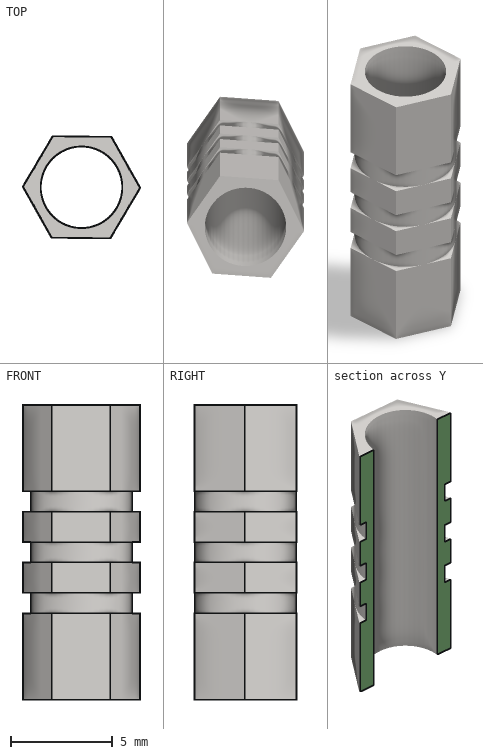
import cadquery as cq
import math

HEX_SIDES = 6
ACROSS_FLATS = 5.0
HEX_TURN = -0.6
GROOVE_DIAMETER = ACROSS_FLATS
BORE_DIAMETER = 4.0
END_LENGTH = 4.25
COLLAR_LENGTH = 1.5
GROOVE_WIDTH = 1.0
COLLAR_COUNT = 2

ACROSS_CORNERS = ACROSS_FLATS / math.cos(math.pi / HEX_SIDES)
GROOVE_COUNT = COLLAR_COUNT + 1
GROOVE_PITCH = COLLAR_LENGTH + GROOVE_WIDTH
TOTAL_LENGTH = 2 * END_LENGTH + COLLAR_COUNT * COLLAR_LENGTH + GROOVE_COUNT * GROOVE_WIDTH


def hexagonal_bar():
    """Full-length hexagonal bar standing on the XY plane."""
    bar = cq.Workplane("XY").polygon(HEX_SIDES, ACROSS_CORNERS).extrude(TOTAL_LENGTH)
    return bar.rotate((0, 0, 0), (0, 0, 1), HEX_TURN)


def groove_cutter(bottom):
    """Ring that turns the hexagon corners down to the groove diameter."""
    return (
        cq.Workplane("XY", origin=(0, 0, bottom))
        .circle(ACROSS_CORNERS)
        .circle(GROOVE_DIAMETER / 2)
        .extrude(GROOVE_WIDTH)
    )


def bore_cutter():
    """Round through bore on the bar axis."""
    return cq.Workplane("XY").circle(BORE_DIAMETER / 2).extrude(TOTAL_LENGTH)


result = hexagonal_bar()
for index in range(GROOVE_COUNT):
    result = result.cut(groove_cutter(END_LENGTH + index * GROOVE_PITCH))
result = result.cut(bore_cutter())